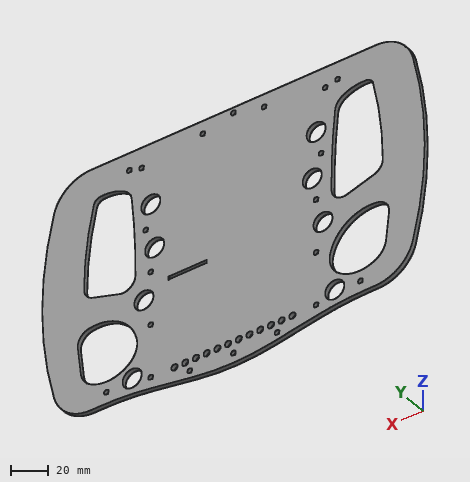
import cadquery as cq
import math

WIDTH = 250.0
HEIGHT = 170.0
THICKNESS = 3.0
HALF_WIDTH = WIDTH / 2
TOP_Z = HEIGHT / 2
LOBE_Z = -HEIGHT / 2

LOBE_DROP = 10.0
BOTTOM_Z = LOBE_Z + LOBE_DROP
SIDE_MID_Z = (TOP_Z + BOTTOM_Z) / 2
SIDE_RADIUS = 245.0
CORNER_RADIUS = 25.0
LOBE_RADIUS = 150.0
SHOULDER_RADIUS = 190.0
SHOULDER_X = 87.0

SCREW_DIAMETER = 3.1
CENTRE_SCREW_HEIGHTS = [81.5, -78.5]
SCREW_PAIRS = [
    (20.0, 76.5), (68.0, 73.5), (60.0, 71.5), (57.3, 29.0), (54.0, -0.4),
    (54.0, -35.5), (54.0, -70.5), (83.0, -67.5), (28.5, -77.5),
]
BUTTON_DIAMETER = 12.4
BUTTON_PAIRS = [(54.0, 44.7), (51.5, 14.8), (58.5, -17.2), (66.2, -65.8)]
LED_DIAMETER = 4.0
LED_COUNT = 12
LED_PITCH = 7.0
LED_Z = -70.8

SLOT_LENGTH = 25.0
SLOT_HEIGHT = 2.0
SLOT_X = 30.0
SLOT_Z = -9.7

UPPER_TOP_OUTER = (-90.4, 63.8)
UPPER_TOP_INNER = (-66.9, 57.8)
UPPER_BOTTOM_INNER = (-64.3, -9.1)
UPPER_BOTTOM_OUTER = (-97.5, 1.1)
UPPER_OUTER_RADIUS = 230.0
UPPER_TOP_RADIUS = 26.0
UPPER_INNER_RADIUS = 470.0
UPPER_TOP_OUTER_FILLET = 5.0
UPPER_TOP_INNER_FILLET = 10.0
UPPER_BOTTOM_FILLET = 8.0

LOWER_TOP_OUTER = (-102.4, -23.0)
LOWER_INNER = (-62.6, -48.2)
LOWER_BOTTOM_OUTER = (-99.2, -52.7)
LOWER_TOP_RADIUS = 27.0
LOWER_BOTTOM_RADIUS = 22.0
LOWER_TOP_OUTER_FILLET = 9.0
LOWER_INNER_FILLET = 15.0
LOWER_BOTTOM_OUTER_FILLET = 13.0


def front_plane():
    """Sketch plane with local axes X and Z; positive extrusion runs toward -Y."""
    return cq.Workplane("XZ", origin=(0, THICKNESS / 2, 0))


def on_circle(center, radius, angle):
    """Point on a circle; the angle is in radians from +X."""
    return (center[0] + radius * math.cos(angle), center[1] + radius * math.sin(angle))


def mirrored(points):
    """The given points together with their mirror images about X = 0."""
    return points + [(-x, z) for x, z in points]


def half_plate():
    """The -X half of the plate, with every blend of the outline tangent."""
    side_center = (SIDE_RADIUS - HALF_WIDTH, SIDE_MID_Z)
    corner_rise = TOP_Z - CORNER_RADIUS - SIDE_MID_Z
    corner_run = math.sqrt((SIDE_RADIUS - CORNER_RADIUS) ** 2 - corner_rise ** 2)
    corner_x = side_center[0] - corner_run
    top_corner = (corner_x, TOP_Z - CORNER_RADIUS)
    bottom_corner = (corner_x, BOTTOM_Z + CORNER_RADIUS)
    side_angle = math.atan2(corner_rise, corner_run)
    corner_mid_angle = (math.pi / 2 + math.pi - side_angle) / 2

    shoulder_center = (-SHOULDER_X, BOTTOM_Z - SHOULDER_RADIUS)
    lobe_center = (0, LOBE_Z + LOBE_RADIUS)
    radius_sum = SHOULDER_RADIUS + LOBE_RADIUS
    center_rise = lobe_center[1] - shoulder_center[1]
    tangent_length = math.sqrt(SHOULDER_X ** 2 + center_rise ** 2 - radius_sum ** 2)
    slope = math.atan2(SHOULDER_X, center_rise) - math.atan2(tangent_length, radius_sum)
    up = math.pi / 2
    down = -math.pi / 2

    return (
        front_plane()
        .moveTo(0, TOP_Z)
        .lineTo(corner_x, TOP_Z)
        .threePointArc(
            on_circle(top_corner, CORNER_RADIUS, corner_mid_angle),
            on_circle(top_corner, CORNER_RADIUS, math.pi - side_angle),
        )
        .threePointArc(
            (-HALF_WIDTH, SIDE_MID_Z),
            on_circle(bottom_corner, CORNER_RADIUS, math.pi + side_angle),
        )
        .threePointArc(
            on_circle(bottom_corner, CORNER_RADIUS, -corner_mid_angle),
            (corner_x, BOTTOM_Z),
        )
        .lineTo(-SHOULDER_X, BOTTOM_Z)
        .threePointArc(
            on_circle(shoulder_center, SHOULDER_RADIUS, up - slope / 2),
            on_circle(shoulder_center, SHOULDER_RADIUS, up - slope),
        )
        .lineTo(*on_circle(lobe_center, LOBE_RADIUS, down - slope))
        .threePointArc(
            on_circle(lobe_center, LOBE_RADIUS, down - slope / 2),
            (0, LOBE_Z),
        )
        .close()
        .extrude(THICKNESS)
    )


def round_corner(body, corner, radius):
    """Fillet the thickness-direction edge that stands at the given corner."""
    edge = cq.selectors.NearestToPointSelector((corner[0], 0, corner[1]))
    return body.edges("|Y").edges(edge).fillet(radius)


def upper_grip_opening():
    body = (
        front_plane()
        .moveTo(*UPPER_TOP_OUTER)
        .radiusArc(UPPER_TOP_INNER, UPPER_TOP_RADIUS)
        .radiusArc(UPPER_BOTTOM_INNER, UPPER_INNER_RADIUS)
        .lineTo(*UPPER_BOTTOM_OUTER)
        .radiusArc(UPPER_TOP_OUTER, UPPER_OUTER_RADIUS)
        .close()
        .extrude(THICKNESS)
    )
    body = round_corner(body, UPPER_TOP_OUTER, UPPER_TOP_OUTER_FILLET)
    body = round_corner(body, UPPER_TOP_INNER, UPPER_TOP_INNER_FILLET)
    body = round_corner(body, UPPER_BOTTOM_INNER, UPPER_BOTTOM_FILLET)
    return round_corner(body, UPPER_BOTTOM_OUTER, UPPER_BOTTOM_FILLET)


def lower_grip_opening():
    body = (
        front_plane()
        .moveTo(*LOWER_TOP_OUTER)
        .radiusArc(LOWER_INNER, LOWER_TOP_RADIUS)
        .radiusArc(LOWER_BOTTOM_OUTER, LOWER_BOTTOM_RADIUS)
        .close()
        .extrude(THICKNESS)
    )
    body = round_corner(body, LOWER_TOP_OUTER, LOWER_TOP_OUTER_FILLET)
    body = round_corner(body, LOWER_INNER, LOWER_INNER_FILLET)
    return round_corner(body, LOWER_BOTTOM_OUTER, LOWER_BOTTOM_OUTER_FILLET)


def hole_pins(points, diameter):
    return front_plane().pushPoints(points).circle(diameter / 2).extrude(THICKNESS)


def led_points():
    first_x = -LED_PITCH * (LED_COUNT - 1) / 2
    return [(first_x + index * LED_PITCH, LED_Z) for index in range(LED_COUNT)]


def slot():
    return (
        front_plane()
        .center(SLOT_X, SLOT_Z)
        .rect(SLOT_LENGTH, SLOT_HEIGHT)
        .extrude(THICKNESS)
    )


left_half = half_plate().cut(upper_grip_opening()).cut(lower_grip_opening())
plate = left_half.union(left_half.mirror("YZ")).clean()

screw_points = mirrored(SCREW_PAIRS) + [(0, z) for z in CENTRE_SCREW_HEIGHTS]
plate = plate.cut(hole_pins(screw_points, SCREW_DIAMETER))
plate = plate.cut(hole_pins(mirrored(BUTTON_PAIRS), BUTTON_DIAMETER))
plate = plate.cut(hole_pins(led_points(), LED_DIAMETER))
result = plate.cut(slot())